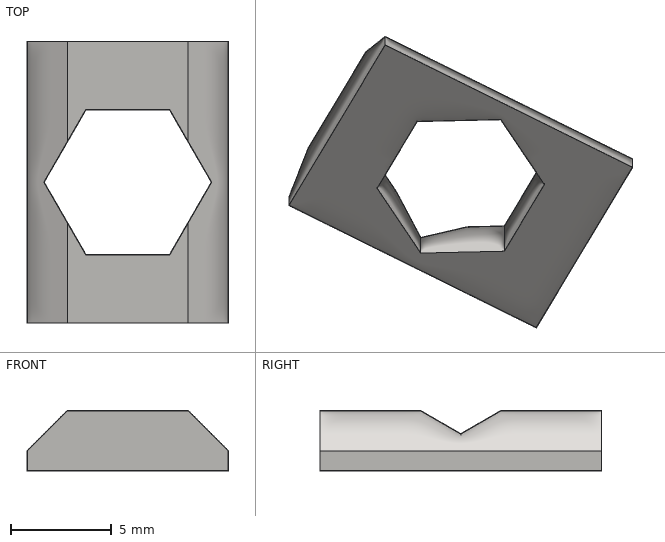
import cadquery as cq
import math

width = 10.0
length = 14.0
height = 3.0

bevel = 2.0

hex_sides = 6
hex_across_flats = 7.2
hex_across_corners = hex_across_flats / math.cos(math.pi / hex_sides)


def beveled_plate():
    """Plate centred on X and Y, standing on Z = 0, with its long top edges beveled."""
    plate = cq.Workplane("XY").box(width, length, height, centered=(True, True, False))
    return plate.faces(">Z").edges("|Y").chamfer(bevel)


def hex_hole():
    """Hexagonal prism that passes through the full height of the plate."""
    return cq.Workplane("XY").polygon(hex_sides, hex_across_corners).extrude(height)


result = beveled_plate().cut(hex_hole())